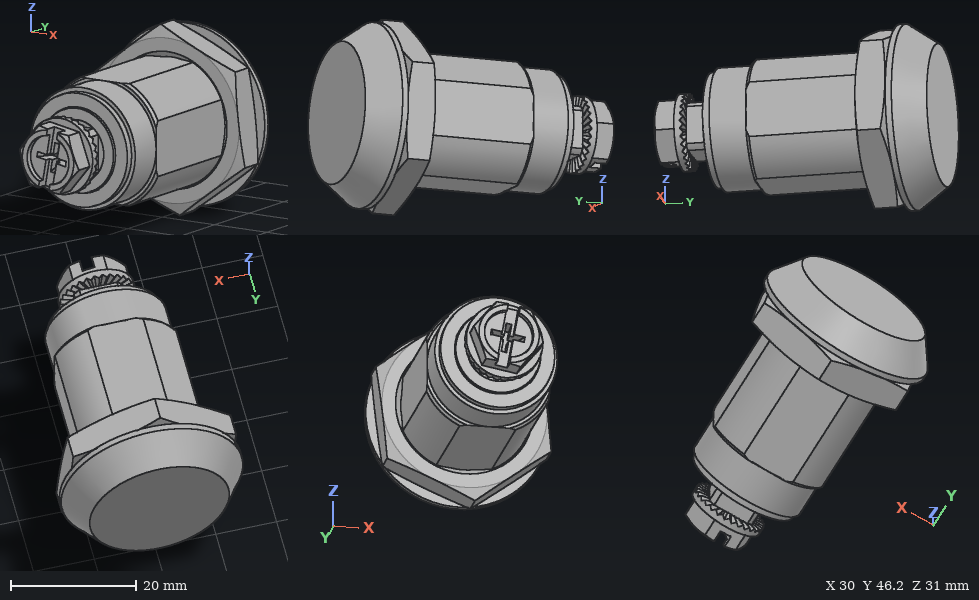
import cadquery as cq
import math


head_dia = 30.0
head_front_dia = 23.0
head_cone_length = 5.0
head_rim_length = 1.0
barrel_dia = 22.0
barrel_end_dia = 21.15
barrel_chamfer_length = 0.5
barrel_end = 24.0
flat_to_flat = 20.0
collar_dia = flat_to_flat
collar_end = 30.05

nut_across_flats = 27.05
nut_rear = 0.4
nut_front = 5.3
nut_turn = 6.8
nut_corner_relief = 0.55
nut_bore_dia = 20.37
nut_countersink_dia = 22.5
nut_tooth_count = 4
nut_tooth_inner_radius = 11.75
nut_tooth_outer_radius = 12.8
nut_tooth_run = 1.5

cap_dia = 18.6
cap_bore_dia = 14.1
cap_end = collar_end + 1.25
ring_dia = 13.85
ring_end = cap_end + 0.4
plug_dia = 10.1
plug_square = 8.0
plug_end = 35.15

washer_dia = 12.47
washer_end = plug_end + 1.52
serration_count = 30
serration_turn = 7.7
serration_depth = 0.6

screw_across_flats = 10.0
screw_head_length = 3.5
screw_end = washer_end + screw_head_length
screw_face_dia = 9.85
screw_corner_relief = 0.35
screw_turn = -10
screw_shaft_dia = 6.0
screw_depth_in_plug = 3.0
dish_dia = 8.0
dish_depth = 1.0
slot_width = 2.0
slot_depth = 2 * dish_depth
cross_arm_width = 0.9
cross_top_reach = 2.75
cross_bottom_reach = 1.8
cross_depth = 4.0


def section_plane(station):
    """Plane across the lock axis: local x is +X, local y is +Z, extrusion runs towards -Y."""
    return cq.Workplane("XZ").workplane(offset=station)


def cylinder(diameter, start, end):
    return section_plane(start).circle(diameter / 2).extrude(end - start)


def turned(profile):
    """Revolve (radius, station) points about the lock axis."""
    points = [(radius, -station) for radius, station in profile]
    return cq.Workplane("XY").polyline(points).close().revolve(360, (0, 0), (0, 1))


def turn(body, degrees):
    """Turn a body about the lock axis, counter-clockwise for someone facing +Y."""
    return body.rotate((0, 0, 0), (0, -1, 0), degrees)


def corner_diameter(across_flats):
    return across_flats / math.cos(math.pi / 6)


def hexagon(across_flats, start, end):
    """Hexagonal prism with two corners on the X axis."""
    return section_plane(start).polygon(6, corner_diameter(across_flats)).extrude(end - start)


def make_housing():
    head_start = -head_cone_length - head_rim_length
    head = turned([
        (0, head_start),
        (head_front_dia / 2, head_start),
        (head_dia / 2, -head_rim_length),
        (head_dia / 2, 0),
        (0, 0),
    ])
    barrel = turned([
        (0, 0),
        (barrel_dia / 2, 0),
        (barrel_dia / 2, barrel_end - barrel_chamfer_length),
        (barrel_end_dia / 2, barrel_end),
        (0, barrel_end),
    ])
    flats = section_plane(0).rect(flat_to_flat, flat_to_flat).extrude(barrel_end)
    collar = cylinder(collar_dia, barrel_end, collar_end)
    return head.union(barrel.intersect(flats)).union(collar)


def make_nut_tooth():
    """Ratchet tooth that reaches back to the head, steep side on the YZ plane."""
    return (
        cq.Workplane("XY")
        .workplane(offset=nut_tooth_inner_radius)
        .polyline([(0, 0), (0, -nut_rear), (-nut_tooth_run, -nut_rear)])
        .close()
        .extrude(nut_tooth_outer_radius - nut_tooth_inner_radius)
    )


def make_nut(housing):
    corner_radius = corner_diameter(nut_across_flats) / 2
    face_radius = nut_across_flats / 2
    corner_envelope = turned([
        (0, nut_rear),
        (face_radius, nut_rear),
        (corner_radius, nut_rear + nut_corner_relief),
        (corner_radius, nut_front - nut_corner_relief),
        (face_radius, nut_front),
        (0, nut_front),
    ])
    nut = turn(hexagon(nut_across_flats, nut_rear, nut_front), 90).intersect(corner_envelope)

    countersink_depth = (nut_countersink_dia - nut_bore_dia) / 2
    nut = nut.cut(turned([
        (0, nut_rear),
        (nut_bore_dia / 2, nut_rear),
        (nut_bore_dia / 2, nut_front - countersink_depth),
        (nut_countersink_dia / 2, nut_front),
        (0, nut_front),
    ]))
    for index in range(nut_tooth_count):
        nut = nut.union(turn(make_nut_tooth(), index * 360 / nut_tooth_count))
    return turn(nut, nut_turn).cut(housing)


def make_cap():
    return cylinder(cap_dia, collar_end, cap_end).cut(cylinder(cap_bore_dia, collar_end, cap_end))


def make_ring():
    return cylinder(ring_dia, collar_end, ring_end).cut(cylinder(plug_dia, collar_end, ring_end))


def make_plug():
    journal = cylinder(plug_dia, collar_end, ring_end)
    square = section_plane(ring_end).rect(plug_square, plug_square).extrude(plug_end - ring_end)
    shank = cylinder(plug_dia, ring_end, plug_end).intersect(square)
    screw_hole = cylinder(screw_shaft_dia, plug_end - screw_depth_in_plug, plug_end)
    return journal.union(shank).cut(screw_hole)


def make_serration():
    """V groove as a pyramid whose tip lies on the lock axis, so it narrows inwards."""
    half_pitch = math.pi / serration_count
    outer_radius = washer_dia / 2
    half_width = outer_radius * math.tan(half_pitch)
    tip = cq.Vector(0, -plug_end, 0)
    left = cq.Vector(-half_width, -plug_end, outer_radius)
    right = cq.Vector(half_width, -plug_end, outer_radius)
    root = cq.Vector(0, -plug_end - serration_depth, outer_radius)
    triangles = [(tip, left, right), (tip, right, root), (tip, root, left), (left, root, right)]
    faces = [
        cq.Face.makeFromWires(cq.Wire.makePolygon(list(corners), close=True))
        for corners in triangles
    ]
    return cq.Workplane(cq.Solid.makeSolid(cq.Shell.makeShell(faces)))


def make_washer():
    washer = cylinder(washer_dia, plug_end, washer_end)
    washer = washer.cut(cylinder(screw_shaft_dia, plug_end, washer_end))
    for index in range(serration_count):
        washer = washer.cut(turn(make_serration(), serration_turn + index * 360 / serration_count))
    return washer


def make_cross_arm():
    """One bar of the cross recess along X, its ends sloping inwards with depth."""
    dish_floor = screw_end - dish_depth
    bottom = screw_end - cross_depth
    return (
        cq.Workplane("XY")
        .workplane(offset=-cross_arm_width / 2)
        .polyline([
            (-cross_top_reach, -dish_floor),
            (cross_top_reach, -dish_floor),
            (cross_bottom_reach, -bottom),
            (-cross_bottom_reach, -bottom),
        ])
        .close()
        .extrude(cross_arm_width)
    )


def make_screw():
    corner_radius = corner_diameter(screw_across_flats) / 2
    corner_envelope = turned([
        (0, washer_end),
        (corner_radius, washer_end),
        (corner_radius, screw_end - screw_corner_relief),
        (screw_face_dia / 2, screw_end),
        (0, screw_end),
    ])
    head = hexagon(screw_across_flats, washer_end, screw_end).intersect(corner_envelope)
    shaft = cylinder(screw_shaft_dia, plug_end - screw_depth_in_plug, washer_end)
    dish = cylinder(dish_dia, screw_end - dish_depth, screw_end)
    slot = (
        section_plane(screw_end - slot_depth)
        .rect(slot_width, corner_diameter(screw_across_flats))
        .extrude(slot_depth)
    )
    screw = head.union(shaft).cut(dish).cut(slot)
    for angle in (0, 90):
        screw = screw.cut(turn(make_cross_arm(), angle))
    return turn(screw, screw_turn)


housing = make_housing()
nut = make_nut(housing)
cap = make_cap()
ring = make_ring()
plug = make_plug()
washer = make_washer()
screw = make_screw()

bodies = [housing, nut, cap, ring, plug, washer, screw]
result = cq.Compound.makeCompound([body.solids().val() for body in bodies])